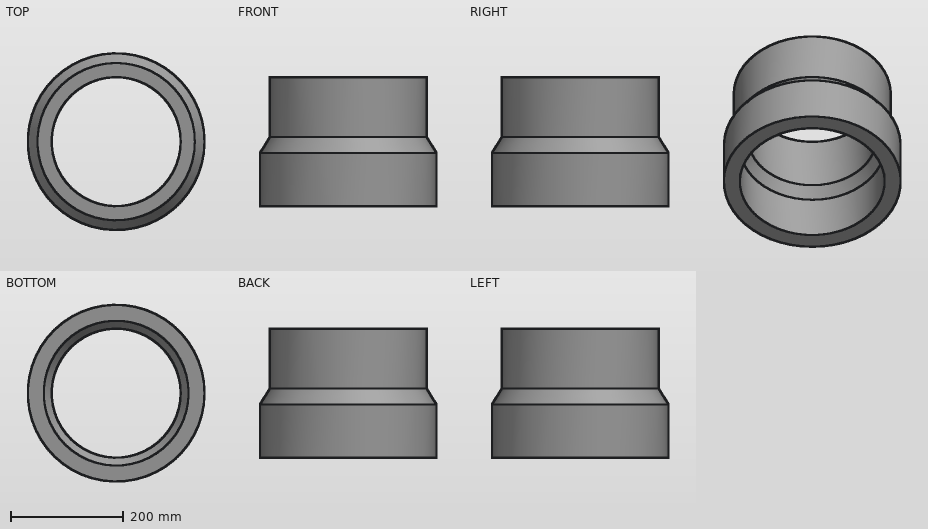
import cadquery as cq

total_height = 230.0
wide_outer_radius = 315.0 / 2
wide_wall = 28.6
narrow_outer_radius = 280.0 / 2
narrow_wall = 25.4

wide_inner_radius = wide_outer_radius - wide_wall
narrow_inner_radius = narrow_outer_radius - narrow_wall

outer_cone_bottom = 95.0
outer_cone_top = 123.0
cone_rise_per_radius = (outer_cone_top - outer_cone_bottom) / (wide_outer_radius - narrow_outer_radius)
inner_cone_bottom = 92.7
inner_cone_top = inner_cone_bottom + cone_rise_per_radius * (wide_inner_radius - narrow_inner_radius)


def stepped_cone(wide_radius, narrow_radius, cone_bottom, cone_top):
    """Solid of revolution about Z: wide cylinder, cone, then narrow cylinder."""
    half_section = [
        (0, 0),
        (wide_radius, 0),
        (wide_radius, cone_bottom),
        (narrow_radius, cone_top),
        (narrow_radius, total_height),
        (0, total_height),
    ]
    profile = cq.Workplane("XZ").polyline(half_section).close()
    return profile.revolve(360, (0, 0, 0), (0, 1, 0))


body = stepped_cone(wide_outer_radius, narrow_outer_radius, outer_cone_bottom, outer_cone_top)
bore = stepped_cone(wide_inner_radius, narrow_inner_radius, inner_cone_bottom, inner_cone_top)

result = body.cut(bore)